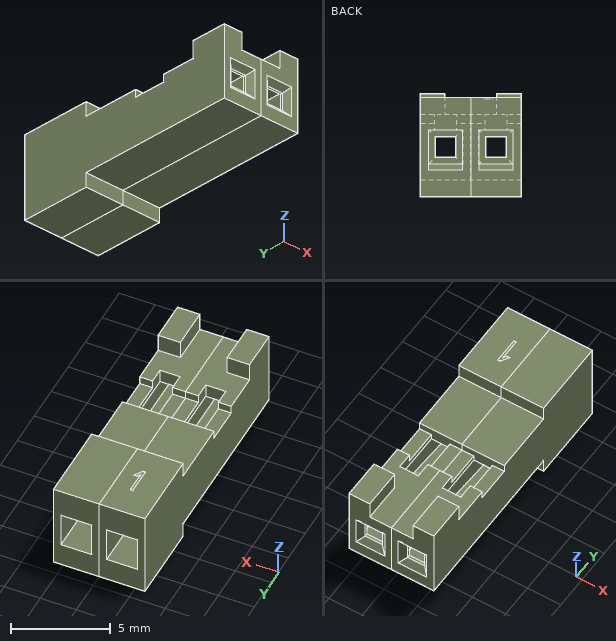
import cadquery as cq

LENGTH = 14.61
POLE_WIDTH = 2.54
HEAD_HEIGHT = 5.0
HEAD_LENGTH = 4.5
BODY_BOTTOM = 0.85
BODY_TOP = 4.15

LUG_WIDTH = 1.24
LUG_LENGTH = 2.3
LUG_TOP = 5.19

SLOT_FRONT = 4.45
SLOT_BACK = 6.49
SLOT_FLOOR = 3.7

WINDOW_WIDTH = 1.11
WINDOW_FRONT = 3.58

BORE_SIDE = 1.02
BORE_CENTER_Z = 2.51
MOUTH_WIDTH = 1.71
MOUTH_HEIGHT = 1.72
MOUTH_SHIFT = 0.01
FUNNEL_DEPTH = 0.32
THROAT_LENGTH = 0.16
CAVITY_BACK = 5.45
RAMP_LENGTH = 2.92
RAMP_DROP = 0.29

ARROW_TIP_X = -0.96
ARROW_TIP_Y = 11.48
ARROW_LENGTH = 1.49
ARROW_STEM = 0.13
ARROW_BARB_X = 0.29
ARROW_BARB_Y = 0.45
ARROW_BARB_LENGTH = 0.18
ARROW_DEPTH = 0.07


def block(x_min, x_max, y_min, y_max, z_min, z_max):
    """Box given by its limits along each axis."""
    size = (x_max - x_min, y_max - y_min, z_max - z_min)
    return cq.Workplane("XY").box(*size, centered=False).translate((x_min, y_min, z_min))


def entry_funnel(center_x):
    """Tapered entry, from the wide mouth on the front face to the square bore."""
    mouth = cq.Workplane("XZ", origin=(center_x + MOUTH_SHIFT, 0, BORE_CENTER_Z))
    mouth_wire = mouth.rect(MOUTH_WIDTH, MOUTH_HEIGHT).val()
    throat = cq.Workplane("XZ", origin=(center_x, FUNNEL_DEPTH, BORE_CENTER_Z))
    throat_wire = throat.rect(BORE_SIDE, BORE_SIDE).val()
    return cq.Workplane(cq.Solid.makeLoft([mouth_wire, throat_wire], True))


def contact_passage():
    """Through passage of the left pole, with all of its widenings."""
    center_x = -POLE_WIDTH / 2
    cavity_front = FUNNEL_DEPTH + THROAT_LENGTH
    half_bore = BORE_SIDE / 2
    half_mouth = MOUTH_WIDTH / 2
    cavity_bottom = BORE_CENTER_Z - MOUTH_HEIGHT / 2
    cavity_top = BORE_CENTER_Z + MOUTH_HEIGHT / 2
    bore = block(center_x - half_bore, center_x + half_bore, 0, cavity_front,
                 BORE_CENTER_Z - half_bore, BORE_CENTER_Z + half_bore)
    cavity = block(center_x - half_mouth, center_x + half_mouth, cavity_front, CAVITY_BACK,
                   cavity_bottom, cavity_top)
    ramp_back = CAVITY_BACK + RAMP_LENGTH
    rear_bottom = cavity_bottom - RAMP_DROP
    rear_profile = [
        (CAVITY_BACK, cavity_bottom),
        (ramp_back, rear_bottom),
        (LENGTH, rear_bottom),
        (LENGTH, cavity_top),
        (CAVITY_BACK, cavity_top),
    ]
    rear = (
        cq.Workplane("YZ", origin=(center_x - half_mouth, 0, 0))
        .polyline(rear_profile)
        .close()
        .extrude(MOUTH_WIDTH)
    )
    window = block(center_x - WINDOW_WIDTH / 2, center_x + WINDOW_WIDTH / 2,
                   WINDOW_FRONT, SLOT_BACK, BORE_CENTER_Z, BODY_TOP)
    return bore.union(entry_funnel(center_x)).union(cavity).union(rear).union(window)


def make_left_housing():
    """Left pole housing, before the arrow recess; its inner face lies on X = 0."""
    body = block(-POLE_WIDTH, 0, 0, LENGTH, BODY_BOTTOM, BODY_TOP)
    head = block(-POLE_WIDTH, 0, LENGTH - HEAD_LENGTH, LENGTH, 0, HEAD_HEIGHT)
    lug = block(-POLE_WIDTH, LUG_WIDTH - POLE_WIDTH, 0, LUG_LENGTH, BODY_BOTTOM, LUG_TOP)
    slot = block(-POLE_WIDTH, 0, SLOT_FRONT, SLOT_BACK, SLOT_FLOOR, BODY_TOP)
    return body.union(head).union(lug).cut(slot).cut(contact_passage())


def make_arrow():
    """Half arrow that points to the front, its top level with the head."""
    notch_y = ARROW_BARB_Y - ARROW_BARB_LENGTH
    return (
        cq.Workplane("XY", origin=(ARROW_TIP_X, ARROW_TIP_Y, HEAD_HEIGHT - ARROW_DEPTH))
        .moveTo(0, 0)
        .lineTo(-ARROW_STEM, 0)
        .lineTo(-ARROW_STEM, ARROW_LENGTH)
        .lineTo(0, ARROW_LENGTH)
        .lineTo(0, notch_y)
        .lineTo(ARROW_BARB_X - ARROW_BARB_LENGTH, ARROW_BARB_Y)
        .lineTo(ARROW_BARB_X, ARROW_BARB_Y)
        .close()
        .extrude(ARROW_DEPTH)
    )


arrow = make_arrow()
plain_housing = make_left_housing()
left_housing = plain_housing.cut(arrow)
right_housing = plain_housing.mirror("YZ")

result = cq.Compound.makeCompound([left_housing.val(), right_housing.val(), arrow.val()])